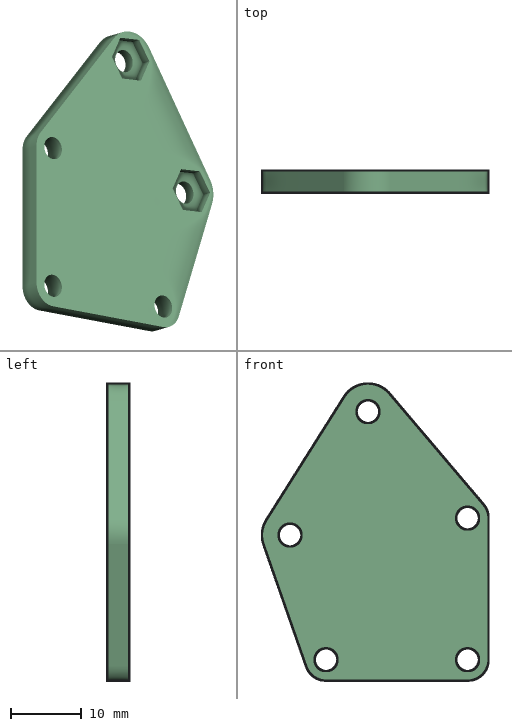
import cadquery as cq
import math

thickness = 3.15
hole_diameter = 3.2
small_radius = 3.0
large_radius = 4.0

nut_across_flats = 5.9
nut_pocket_depth = 1.5
nut_tilt = -3.2

square_side = 20.03
left_hole_x = -25.1
left_hole_z = 17.63
top_hole_x = -14.1
top_hole_z = 35.1

corners = [
    (0, 0, small_radius),
    (0, square_side, small_radius),
    (top_hole_x, top_hole_z, large_radius),
    (left_hole_x, left_hole_z, large_radius),
    (-square_side, 0, small_radius),
]


def point_on_corner(corner, angle):
    """Point on the corner's arc in the direction of angle."""
    x, z, radius = corner
    return (x + radius * math.cos(angle), z + radius * math.sin(angle))


def tangent_normal(start, end):
    """Angle of the outward normal of the straight edge tangent to two corners."""
    dx = end[0] - start[0]
    dz = end[1] - start[1]
    tilt = math.acos((start[2] - end[2]) / math.hypot(dx, dz))
    return math.atan2(dz, dx) - tilt


def rounded_outline(corners):
    """Outline of straight edges joined by tangent corner arcs."""
    count = len(corners)
    normals = [tangent_normal(corners[i], corners[(i + 1) % count]) for i in range(count)]
    outline = cq.Workplane("XZ").moveTo(*point_on_corner(corners[0], normals[-1]))
    for i, corner in enumerate(corners):
        arc_start = normals[i - 1]
        arc_sweep = (normals[i] - arc_start) % (2 * math.pi)
        middle = point_on_corner(corner, arc_start + arc_sweep / 2)
        outline = outline.threePointArc(middle, point_on_corner(corner, normals[i]))
        if i < count - 1:
            outline = outline.lineTo(*point_on_corner(corners[i + 1], normals[i]))
    return outline.close()


plate = rounded_outline(corners).extrude(thickness)

hole_centres = [(x, z) for x, z, _ in corners]
holes = cq.Workplane("XZ").pushPoints(hole_centres).circle(hole_diameter / 2).extrude(thickness)

nut_centres = [(x, z) for x, z, radius in corners if radius == large_radius]
nut_across_corners = nut_across_flats / math.cos(math.pi / 6)
nut_pocket = (
    cq.Workplane("XZ")
    .transformed(rotate=(0, 0, nut_tilt))
    .polygon(6, nut_across_corners)
    .extrude(nut_pocket_depth)
)

result = plate.cut(holes)
for x, z in nut_centres:
    result = result.cut(nut_pocket.translate((x, 0, z)))